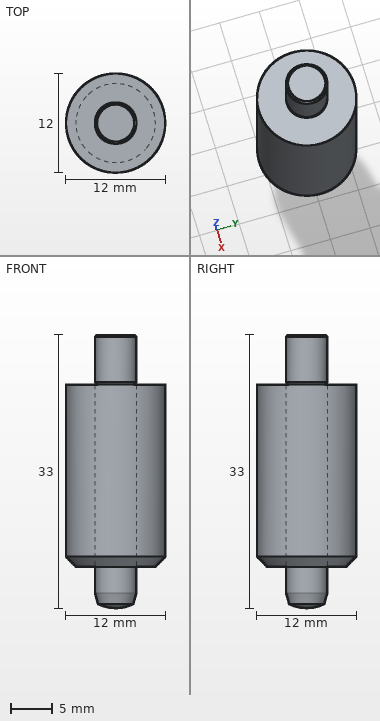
import cadquery as cq

total_height = 33.0

housing_diameter = 12.0
housing_chamfer = 1.22

pin_diameter = 5.0
pin_projection = 5.0
taper_length = 1.32
taper_end_radius = 2.15
dome_height = 0.53

stud_length = 6.0
stud_tip_chamfer = 0.25
stud_relief_chamfer = 0.3

pin_radius = pin_diameter / 2
housing_bottom = pin_projection
housing_top = total_height - stud_length


def make_housing():
    """Round sleeve with a chamfered lower rim and a plain through bore."""
    return (
        cq.Workplane("XY", origin=(0, 0, housing_bottom))
        .circle(housing_diameter / 2)
        .circle(pin_radius)
        .extrude(housing_top - housing_bottom)
        .faces("<Z").edges(cq.selectors.RadiusNthSelector(-1))
        .chamfer(housing_chamfer)
    )


def make_stud():
    """Cylinder with a chamfer at its tip and a relief chamfer at its root."""
    return (
        cq.Workplane("XY", origin=(0, 0, housing_top))
        .circle(pin_radius)
        .extrude(stud_length)
        .faces(">Z").chamfer(stud_tip_chamfer)
        .faces("<Z").chamfer(stud_relief_chamfer)
    )


def make_pin():
    """Shank with a tapered nose and domed tip, flush with the housing top below its stud."""
    taper_top = dome_height + taper_length
    dome_radius = (taper_end_radius**2 + dome_height**2) / (2 * dome_height)
    arc_mid_x = taper_end_radius / 2
    arc_mid_z = dome_radius - (dome_radius**2 - arc_mid_x**2) ** 0.5
    shank = (
        cq.Workplane("XZ")
        .moveTo(0, 0)
        .threePointArc((arc_mid_x, arc_mid_z), (taper_end_radius, dome_height))
        .lineTo(pin_radius, taper_top)
        .lineTo(pin_radius, housing_top)
        .lineTo(0, housing_top)
        .close()
        .revolve(360, (0, 0, 0), (0, 1, 0))
    )
    return shank.union(make_stud())


housing = make_housing()
pin = make_pin()

result = cq.Compound.makeCompound([housing.solids().val(), pin.solids().val()])